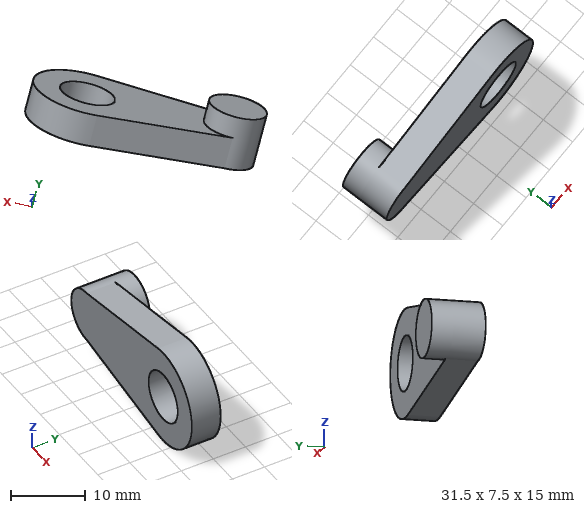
import cadquery as cq
import math

total_length = 31.5
eye_radius = 7.5
bore_diameter = 7.6
pin_radius = 4.0
arm_thickness = 4.5
pin_length = 7.5

eye_x = total_length - pin_radius - eye_radius

distance_to_eye = math.hypot(eye_x, pin_radius)
flank_angle = math.asin(eye_radius / distance_to_eye) - math.atan2(pin_radius, eye_x)
tangent_x = eye_x - eye_radius * math.sin(flank_angle)
tangent_z = eye_radius * math.cos(flank_angle)


def front_plane():
    """Workplane on the front face; negative extrusion goes toward +Y."""
    return cq.Workplane(cq.Plane(origin=(0, 0, 0), xDir=(1, 0, 0), normal=(0, -1, 0)))


def make_arm():
    """Teardrop plate joining the pin to the eye."""
    outline = (
        front_plane()
        .moveTo(0, pin_radius)
        .lineTo(tangent_x, tangent_z)
        .threePointArc((eye_x + eye_radius, 0), (tangent_x, -tangent_z))
        .lineTo(0, -pin_radius)
        .threePointArc((-pin_radius, 0), (0, pin_radius))
        .close()
    )
    return outline.extrude(-arm_thickness)


def make_pin():
    """Round pin standing out behind the arm."""
    back_face = front_plane().workplane(offset=-arm_thickness)
    return back_face.circle(pin_radius).extrude(arm_thickness - pin_length)


def make_bore():
    """Through hole in the centre of the eye."""
    return front_plane().center(eye_x, 0).circle(bore_diameter / 2).extrude(-arm_thickness)


result = make_arm().union(make_pin()).cut(make_bore())